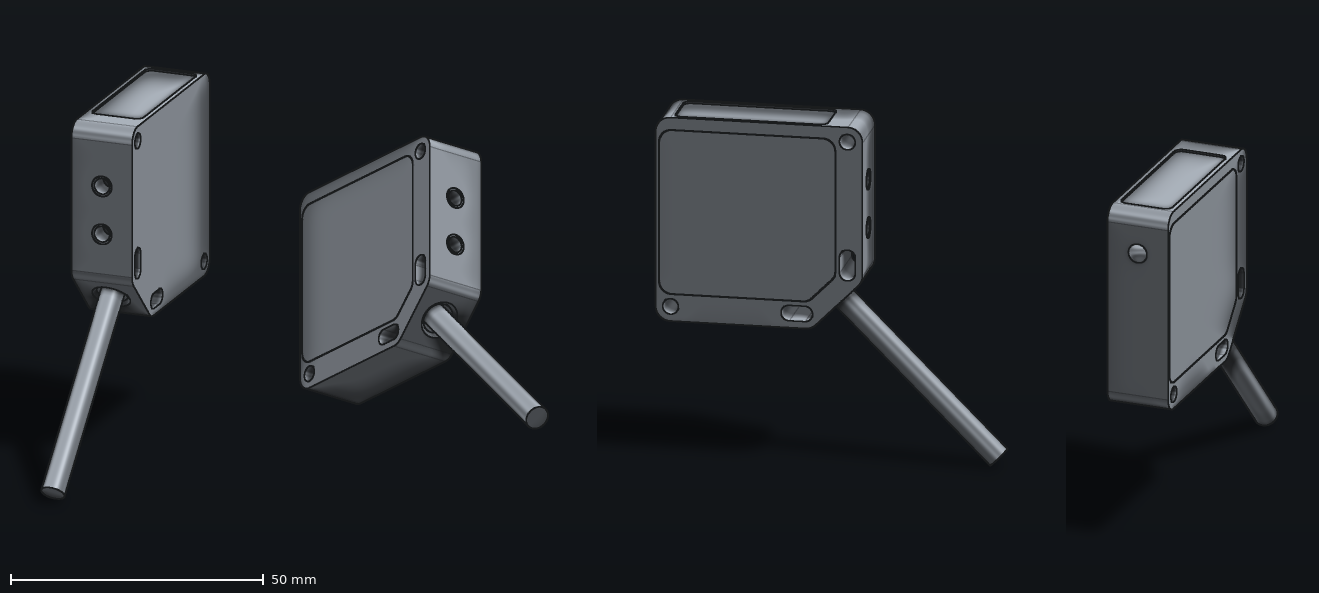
import cadquery as cq
import math

THICKNESS = 12.95
SIDE_Y = 41.75
SIDE_Z = 42.05
BEVEL_LEG = 10.25
CORNER_RADIUS = 3.0

MOUNT_DIAMETER = 3.2
MOUNT_INSET = 3.05
SLOT_LENGTH = 6.4
SLOT_DISTANCE = 25.5

PORT_DIAMETER = 3.25
PORT_RIM_DIAMETER = 4.2
PORT_RIM_DEPTH = 0.15
PORT_DEPTH = 4.95
PORT_COUNT = 2
PORT_SPACING = 10.0
PORT_TOP_Z = 29.65

COVER_Y_MIN = 5.5
COVER_Y_MAX = 41.0
COVER_Z_MIN = 5.65
COVER_Z_MAX = 39.4
COVER_BEVEL_LEG = 5.4
COVER_RADIUS = 2.5
COVER_DEPTH = 1.0
COVER_GAP = 0.105

WINDOW_WIDTH = 10.9
WINDOW_Y_MIN = 7.35
WINDOW_LENGTH = 30.85
WINDOW_RADIUS = 1.5
WINDOW_RECESS = 0.4
WINDOW_THICKNESS = 1.0
WINDOW_FLOOR_Z = SIDE_Z - WINDOW_RECESS - WINDOW_THICKNESS

CABLE_DIAMETER = 4.8
CABLE_LENGTH = 44.4
SOCKET_DIAMETER = 6.4
SOCKET_MOUTH_DIAMETER = 7.85
SOCKET_DEPTH = 4.95

LAMP_BASE_RADIUS = 2.0
LAMP_HEIGHT = 1.05
LAMP_Z = SIDE_Z - 8.85

LEFT_FACE_X = -THICKNESS / 2


def bevelled_outline(y_min, y_max, z_min, z_max, bevel_leg, radius, x_start, depth):
    """Plate along +X whose low-Y, low-Z corner is bevelled and whose corners are rounded."""
    return (
        cq.Workplane("YZ", origin=(x_start, 0, 0))
        .moveTo(y_min + bevel_leg, z_min)
        .lineTo(y_max, z_min)
        .lineTo(y_max, z_max)
        .lineTo(y_min, z_max)
        .lineTo(y_min, z_min + bevel_leg)
        .close()
        .extrude(depth)
        .edges("|X")
        .fillet(radius)
    )


def cover_plate(gap):
    """Side cover outline grown outward by the gap."""
    bevel_growth = gap * (2 - math.sqrt(2))
    return bevelled_outline(
        COVER_Y_MIN - gap,
        COVER_Y_MAX + gap,
        COVER_Z_MIN - gap,
        COVER_Z_MAX + gap,
        COVER_BEVEL_LEG + bevel_growth,
        COVER_RADIUS + gap,
        LEFT_FACE_X,
        COVER_DEPTH,
    )


def window_block(z_bottom, height):
    """Rounded rectangular block with the outline of the top window."""
    return (
        cq.Workplane("XY", origin=(0, WINDOW_Y_MIN + WINDOW_LENGTH / 2, z_bottom))
        .rect(WINDOW_WIDTH, WINDOW_LENGTH)
        .extrude(height)
        .edges("|Z")
        .fillet(WINDOW_RADIUS)
    )


def mount_cutters():
    """Two round holes and two slots that run right through the thickness."""
    far_y = SIDE_Y - MOUNT_INSET
    far_z = SIDE_Z - MOUNT_INSET
    plane = cq.Workplane("YZ", origin=(LEFT_FACE_X, 0, 0))
    holes = (
        plane.pushPoints([(MOUNT_INSET, far_z), (far_y, MOUNT_INSET)])
        .circle(MOUNT_DIAMETER / 2)
        .extrude(THICKNESS)
    )
    slot_along_z = (
        plane.center(MOUNT_INSET, far_z - SLOT_DISTANCE)
        .slot2D(SLOT_LENGTH, MOUNT_DIAMETER, 90)
        .extrude(THICKNESS)
    )
    slot_along_y = (
        plane.center(far_y - SLOT_DISTANCE, MOUNT_INSET)
        .slot2D(SLOT_LENGTH, MOUNT_DIAMETER)
        .extrude(THICKNESS)
    )
    return holes.union(slot_along_z).union(slot_along_y)


def port_cutter(z):
    """Blind hole into the -Y face with a shallow wider rim."""
    plane = cq.Workplane("XZ", origin=(0, 0, z))
    bore = plane.circle(PORT_DIAMETER / 2).extrude(-PORT_DEPTH)
    rim = plane.circle(PORT_RIM_DIAMETER / 2).extrude(-PORT_RIM_DEPTH)
    return bore.union(rim)


def cable_plane():
    """Plane on the bevel, centred on it, with its normal pointing out along the cable."""
    return cq.Plane(
        origin=(0, BEVEL_LEG / 2, BEVEL_LEG / 2),
        xDir=(1, 0, 0),
        normal=(0, -1, -1),
    )


def socket_cutter():
    """Cable bore with a 45 degree countersunk mouth."""
    bore_radius = SOCKET_DIAMETER / 2
    mouth_radius = SOCKET_MOUTH_DIAMETER / 2
    countersink_depth = mouth_radius - bore_radius
    bore = cq.Workplane(cable_plane()).circle(bore_radius).extrude(-SOCKET_DEPTH)
    mouth = (
        cq.Workplane(cable_plane())
        .circle(mouth_radius)
        .workplane(offset=-countersink_depth)
        .circle(bore_radius)
        .loft()
    )
    return bore.union(mouth)


def build_housing():
    housing = bevelled_outline(0, SIDE_Y, 0, SIDE_Z, BEVEL_LEG, CORNER_RADIUS, LEFT_FACE_X, THICKNESS)
    housing = housing.cut(mount_cutters())
    for index in range(PORT_COUNT):
        housing = housing.cut(port_cutter(PORT_TOP_Z - index * PORT_SPACING))
    housing = housing.cut(cover_plate(COVER_GAP))
    housing = housing.cut(window_block(WINDOW_FLOOR_Z, SIDE_Z - WINDOW_FLOOR_Z))
    return housing.cut(socket_cutter())


def build_cover():
    return cover_plate(0)


def build_window():
    return window_block(WINDOW_FLOOR_Z, WINDOW_THICKNESS)


def build_cable():
    """Round cable standing on the floor of its socket."""
    return (
        cq.Workplane(cable_plane())
        .workplane(offset=-SOCKET_DEPTH)
        .circle(CABLE_DIAMETER / 2)
        .extrude(SOCKET_DEPTH + CABLE_LENGTH)
    )


def build_lamp():
    """Spherical cap standing on the +Y face."""
    sphere_radius = (LAMP_BASE_RADIUS**2 + LAMP_HEIGHT**2) / (2 * LAMP_HEIGHT)
    middle_angle = math.asin(LAMP_BASE_RADIUS / sphere_radius) / 2
    middle_radius = sphere_radius * math.sin(middle_angle)
    middle_height = LAMP_HEIGHT - sphere_radius * (1 - math.cos(middle_angle))
    return (
        cq.Workplane("XY", origin=(0, SIDE_Y, LAMP_Z))
        .moveTo(0, 0)
        .lineTo(LAMP_BASE_RADIUS, 0)
        .threePointArc((middle_radius, middle_height), (0, LAMP_HEIGHT))
        .close()
        .revolve(360, (0, 0, 0), (0, 1, 0))
    )


housing = build_housing()
cover = build_cover()
window = build_window()
cable = build_cable()
lamp = build_lamp()

result = cq.Compound.makeCompound(
    [housing.val(), cover.val(), window.val(), cable.val(), lamp.val()]
)